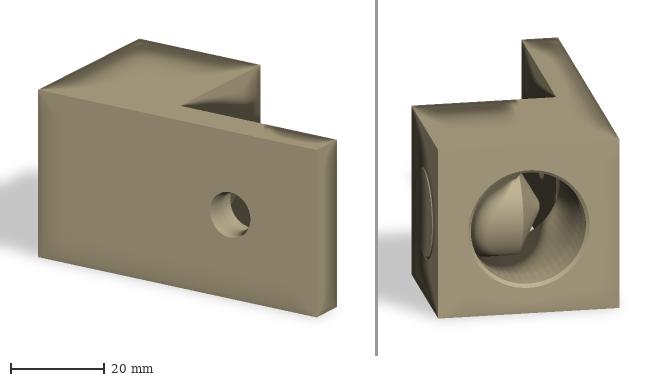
import cadquery as cq
import math

length = 71.5
depth = 39.7
height = 38.1
block_length = 31.2
plate_thickness = 8.0
mid_height = height / 2
mid_block = block_length / 2

bore_radius = 12.6
bore_chamfer = 0.7
bore_y = depth / 2

mount_diameter = 10.4
mount_x = 49.3

screw_radius = 10.3
screw_chamfer = 0.8
screw_protrusion = 0.2
screw_end_y = depth + screw_protrusion
shoulder_offset = 0.2
screw_shoulder_y = bore_y + shoulder_offset
point_half_angle = math.radians(60)
tip_radius = 3.15


def make_conductor_bore():
    """Bore along the block with a conical lead-in at the -X face."""
    entry_radius = bore_radius + bore_chamfer
    profile = (
        cq.Workplane("XY")
        .moveTo(0, 0)
        .lineTo(0, entry_radius)
        .lineTo(bore_chamfer, bore_radius)
        .lineTo(block_length, bore_radius)
        .lineTo(block_length, 0)
        .close()
    )
    bore = profile.revolve(360, (0, 0, 0), (1, 0, 0))
    return bore.translate((0, bore_y, mid_height))


def make_screw_hole():
    """Screw hole from the back face, opening into the conductor bore."""
    return (
        cq.Workplane("XZ", origin=(mid_block, depth, mid_height))
        .circle(screw_radius)
        .extrude(depth - bore_y)
    )


def make_housing():
    """L-shaped lug with its bore, screw hole and mounting hole."""
    outline = (
        cq.Workplane("XY")
        .moveTo(0, 0)
        .lineTo(length, 0)
        .lineTo(length, plate_thickness)
        .lineTo(block_length, plate_thickness)
        .lineTo(block_length, depth)
        .lineTo(0, depth)
        .close()
    )
    mounting_hole = (
        cq.Workplane("XZ", origin=(mount_x, plate_thickness, mid_height))
        .circle(mount_diameter / 2)
        .extrude(plate_thickness)
    )
    return (
        outline.extrude(height)
        .cut(make_conductor_bore())
        .cut(make_screw_hole())
        .cut(mounting_hole)
    )


def make_screw():
    """Screw standing slightly proud, with a chamfered end and a rounded conical point."""
    apex_y = screw_shoulder_y - screw_radius / math.tan(point_half_angle)
    tip_center_y = apex_y + tip_radius / math.sin(point_half_angle)
    tangent_x = tip_radius * math.cos(point_half_angle)
    tangent_y = tip_center_y - tip_radius * math.sin(point_half_angle)
    mid_angle = (math.pi / 2 - point_half_angle) / 2
    arc_mid = (tip_radius * math.sin(mid_angle), tip_center_y - tip_radius * math.cos(mid_angle))
    profile = (
        cq.Workplane("XY")
        .moveTo(0, tip_center_y - tip_radius)
        .threePointArc(arc_mid, (tangent_x, tangent_y))
        .lineTo(screw_radius, screw_shoulder_y)
        .lineTo(screw_radius, screw_end_y - screw_chamfer)
        .lineTo(screw_radius - screw_chamfer, screw_end_y)
        .lineTo(0, screw_end_y)
        .close()
    )
    screw = profile.revolve(360, (0, 0, 0), (0, 1, 0))
    return screw.translate((mid_block, 0, mid_height))


housing = make_housing()
screw = make_screw()
result = cq.Compound.makeCompound([*housing.solids().vals(), *screw.solids().vals()])